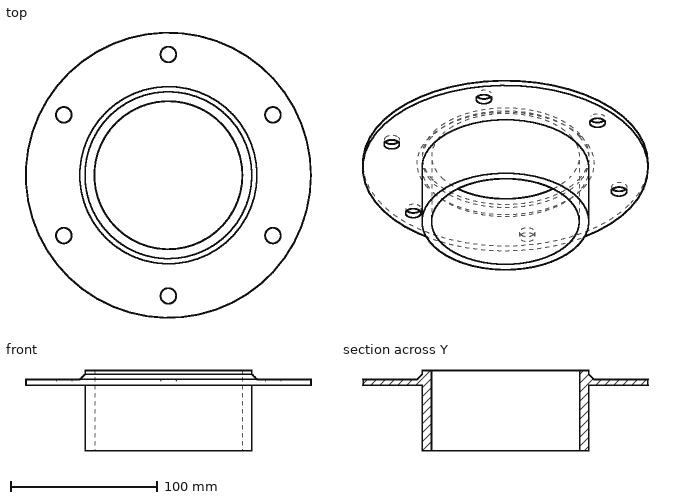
import cadquery as cq

flange_diameter = 195.0
flange_thickness = 4.0

pipe_outer_diameter = 114.0
pipe_bore_diameter = 101.0
pipe_length = 55.0
pipe_projection = 6.0

weld_size = 3.5

bolt_hole_count = 6
bolt_hole_diameter = 10.5
bolt_circle_diameter = 165.0
first_bolt_angle = 90.0

flange_top = pipe_length - pipe_projection
flange_bottom = flange_top - flange_thickness
pipe_outer_radius = pipe_outer_diameter / 2


def make_flange():
    return (
        cq.Workplane("XY")
        .workplane(offset=flange_bottom)
        .circle(flange_diameter / 2)
        .extrude(flange_thickness)
    )


def make_pipe():
    return cq.Workplane("XY").circle(pipe_outer_radius).extrude(pipe_length)


def make_weld():
    """Cone that narrows from the flange face up to the pipe wall."""
    cone = cq.Solid.makeCone(
        pipe_outer_radius + weld_size,
        pipe_outer_radius,
        weld_size,
        pnt=cq.Vector(0, 0, flange_top),
    )
    return cq.Workplane(obj=cone)


def make_bore():
    return cq.Workplane("XY").circle(pipe_bore_diameter / 2).extrude(pipe_length)


def make_bolt_holes():
    return (
        cq.Workplane("XY")
        .workplane(offset=flange_bottom)
        .polarArray(bolt_circle_diameter / 2, first_bolt_angle, 360, bolt_hole_count)
        .circle(bolt_hole_diameter / 2)
        .extrude(flange_thickness)
    )


body = make_flange().union(make_pipe()).union(make_weld())
result = body.cut(make_bore()).cut(make_bolt_holes())